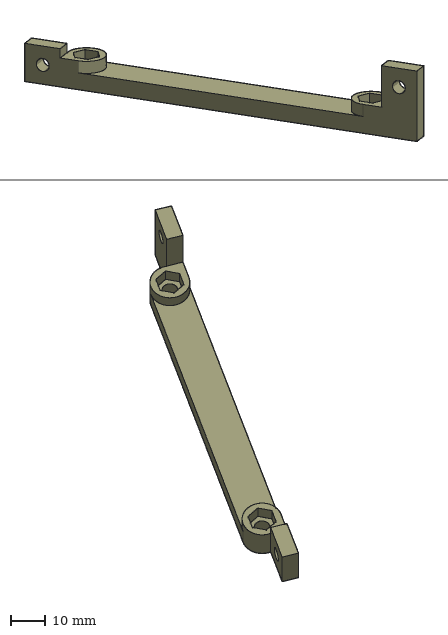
import cadquery as cq

length = 125.8
width = 11.7
base_height = 5.3

tab_thickness = 5.0
left_tab_height = 12.0
right_tab_height = 22.0
tab_hole_diameter = 4.0
tab_hole_drop = 5.9
tab_hole_inset = 5.8

boss_radius = width / 2
boss_height = 9.0
boss_inset = 17.2
screw_hole_diameter = 4.7
nut_across_flats = 7.3
nut_pocket_depth = 4.0

tab_length = boss_inset - boss_radius
hexagon_corner_ratio = 2 / 3**0.5
nut_across_corners = nut_across_flats * hexagon_corner_ratio
boss_positions = [boss_inset, length - boss_inset]


def block(x_start, x_length, depth, height):
    """Block standing on z = 0 with its front face at y = 0."""
    return cq.Workplane("XY").box(x_length, depth, height, centered=False).translate((x_start, 0, 0))


def on_boss_axis(x, z=0):
    return cq.Workplane("XY").workplane(offset=z).center(x, boss_radius)


def tab(x_start, height, hole_x):
    """End tab with a cross hole near its top."""
    hole = (
        cq.Workplane("XZ")
        .center(hole_x, height - tab_hole_drop)
        .circle(tab_hole_diameter / 2)
        .extrude(-tab_thickness)
    )
    return block(x_start, tab_length, tab_thickness, height).cut(hole)


body = block(boss_inset, length - 2 * boss_inset, width, base_height)

for boss_x, corner_x in zip(boss_positions, [tab_length, length - boss_inset]):
    body = body.union(on_boss_axis(boss_x).circle(boss_radius).extrude(boss_height))
    body = body.union(block(corner_x, boss_radius, tab_thickness, boss_height))

body = body.union(tab(0, left_tab_height, tab_hole_inset))
body = body.union(tab(length - tab_length, right_tab_height, length - tab_hole_inset))

for boss_x in boss_positions:
    body = body.cut(on_boss_axis(boss_x).circle(screw_hole_diameter / 2).extrude(boss_height))
    pocket = on_boss_axis(boss_x, boss_height - nut_pocket_depth).polygon(6, nut_across_corners)
    body = body.cut(pocket.extrude(nut_pocket_depth))

result = body